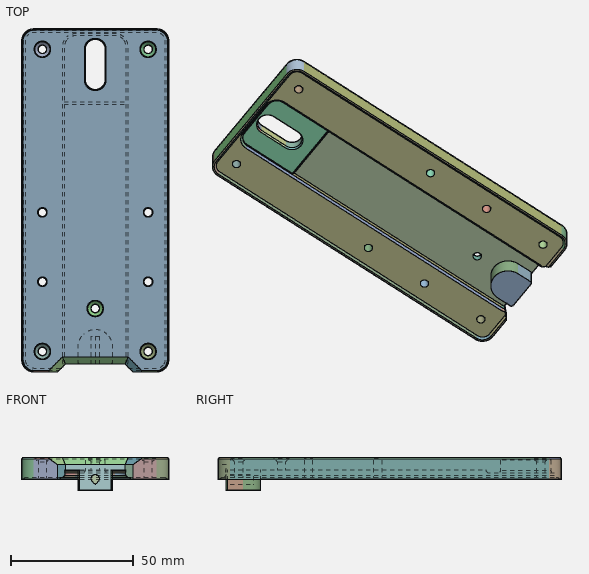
import cadquery as cq
import math

length = 140.0
width = 60.0
total_height = 13.5
plate_thickness = 9.0
plate_top = total_height
plate_bottom = plate_top - plate_thickness
corner_radius = 5.0
edge_chamfer = 0.5
front_y = -length / 2

notch_depth = 3.2
notch_back_half_width = 12.2
notch_bevel = 3.0
notch_back_y = front_y + notch_depth
notch_overrun = 14.0

recess_inset = 0.7
recess_depth = 0.8

pocket_depth = 3.9
pocket_half_width = 12.5
pocket_back_y = 67.2
pocket_corner_radius = 4.3
pocket_chamfer = 0.8

pad_front_y = 39.2
pad_height = 1.3
pad_bottom = plate_bottom + pocket_depth - pad_height
pad_chamfer = 0.8

boss_width = 14.0
boss_radius = boss_width / 2
boss_back_y = -52.6
boss_corner_chamfer = 0.5
pin_diameter = 3.4
pin_height = 4.8
pin_depth = 11.2

hole_diameter = 3.4
hole_x = 21.5
corner_hole_y = 61.6
middle_hole_y = -44.1
small_hole_ys = (-4.9, -33.2)
rim_chamfer = 0.3
head_diameter = 6.2
head_depth = 0.4

slot_width = 8.1
slot_length = 20.5
slot_y = 55.5
slot_rim_width = 0.4
slot_rim_depth = 1.0
slot_rim_angle = math.degrees(math.atan2(slot_rim_width, slot_rim_depth))


def level(height):
    """Horizontal workplane at the given height, centred on the plate."""
    return cq.Workplane("XY", origin=(0, 0, height))


def make_plate():
    plate = level(plate_bottom).rect(width, length).extrude(plate_thickness)
    plate = plate.edges("|Z").fillet(corner_radius)
    return plate.faces(">Z").edges().chamfer(edge_chamfer)


def notch_outline(height, growth):
    """Notch trapezoid with its back and slanted sides moved outwards by growth."""
    outer_y = front_y - notch_overrun
    back_y = notch_back_y + growth
    back_half_width = notch_back_half_width + growth * math.tan(math.radians(22.5))
    outer_half_width = back_half_width + back_y - outer_y
    outline = [
        (-outer_half_width, outer_y),
        (outer_half_width, outer_y),
        (back_half_width, back_y),
        (-back_half_width, back_y),
    ]
    return level(height).polyline(outline).close()


def notch_cutter():
    straight = notch_outline(0, 0).extrude(total_height)
    bevel = notch_outline(plate_top, notch_bevel).extrude(-notch_bevel, taper=45)
    return straight.union(bevel)


def recess_cutter():
    outline = (
        cq.Sketch()
        .rect(width - 2 * recess_inset, length - 2 * recess_inset)
        .vertices()
        .fillet(corner_radius - recess_inset)
    )
    return level(plate_bottom).placeSketch(outline).extrude(recess_depth, taper=45)


def pocket_outline(height, growth):
    """Rounded pocket rectangle, widened all round by growth."""
    outline = (
        cq.Sketch()
        .rect(2 * (pocket_half_width + growth), pocket_back_y - front_y + 2 * growth)
        .vertices()
        .fillet(pocket_corner_radius + growth)
    )
    center_y = (pocket_back_y + front_y) / 2
    return level(height).center(0, center_y).placeSketch(outline)


def pocket_cutter():
    pocket = pocket_outline(plate_bottom, 0).extrude(pocket_depth)
    mouth = pocket_outline(plate_bottom + recess_depth, pocket_chamfer).extrude(pocket_chamfer, taper=45)
    return pocket.union(mouth).cut(make_pad())


def make_pad():
    """Block left on the pocket ceiling, running back past the end of the pocket."""
    pad_length = length / 2 - pad_front_y
    return (
        level(pad_bottom)
        .center(0, pad_front_y + pad_length / 2)
        .rect(width, pad_length)
        .extrude(pad_height)
        .edges("<Z and <Y")
        .chamfer(pad_chamfer)
    )


def make_boss():
    round_y = boss_back_y - boss_radius
    boss = (
        level(0)
        .moveTo(-boss_radius, notch_back_y)
        .lineTo(boss_radius, notch_back_y)
        .lineTo(boss_radius, round_y)
        .threePointArc((0, boss_back_y), (-boss_radius, round_y))
        .close()
        .extrude(plate_bottom + pocket_depth)
        .edges("|Z and <Y")
        .chamfer(boss_corner_chamfer)
    )
    return boss.cut(pin_hole_cutter())


def pin_hole_cutter():
    """Teardrop bore: a circle whose two 45-degree tangents meet in a point below it."""
    radius = pin_diameter / 2
    tangent = radius * math.sqrt(0.5)
    tip = radius * math.sqrt(2)
    return (
        cq.Workplane("XZ", origin=(0, notch_back_y, pin_height))
        .moveTo(0, -tip)
        .lineTo(tangent, -tangent)
        .threePointArc((0, radius), (-tangent, -tangent))
        .close()
        .extrude(-pin_depth)
    )


def bore_cutter(points, diameter, depth):
    """Bores from the top face, each with a small chamfer on its rim."""
    bores = level(plate_top).pushPoints(points).circle(diameter / 2).extrude(-depth)
    rim_radius = diameter / 2 + rim_chamfer
    rims = level(plate_top).pushPoints(points).circle(rim_radius).extrude(-rim_chamfer, taper=45)
    return bores.union(rims)


def screw_hole_cutter():
    """Plain holes, and countersunk holes with a short straight head seat."""
    small = [(x, y) for x in (-hole_x, hole_x) for y in small_hole_ys]
    countersunk = [(x, y) for x in (-hole_x, hole_x) for y in (-corner_hole_y, corner_hole_y)]
    countersunk.append((0, middle_hole_y))
    cone_height = (head_diameter - hole_diameter) / 2
    cones = (
        level(plate_top - head_depth)
        .pushPoints(countersunk)
        .circle(head_diameter / 2)
        .extrude(-cone_height, taper=45)
    )
    holes = bore_cutter(small + countersunk, hole_diameter, plate_thickness)
    return holes.union(bore_cutter(countersunk, head_diameter, head_depth)).union(cones)


def slot_outline(height, growth):
    """Slot widened all round by growth."""
    return level(height).center(0, slot_y).slot2D(slot_length + 2 * growth, slot_width + 2 * growth, 90)


def slot_cutter():
    slot = slot_outline(plate_top, 0).extrude(-plate_thickness)
    top_rim = slot_outline(plate_top, slot_rim_width).extrude(-slot_rim_depth, taper=slot_rim_angle)
    bottom_rim = slot_outline(pad_bottom, slot_rim_width).extrude(slot_rim_depth, taper=slot_rim_angle)
    return slot.union(top_rim).union(bottom_rim)


plate = make_plate().cut(notch_cutter()).cut(recess_cutter()).cut(pocket_cutter())
result = plate.union(make_boss()).cut(screw_hole_cutter()).cut(slot_cutter())